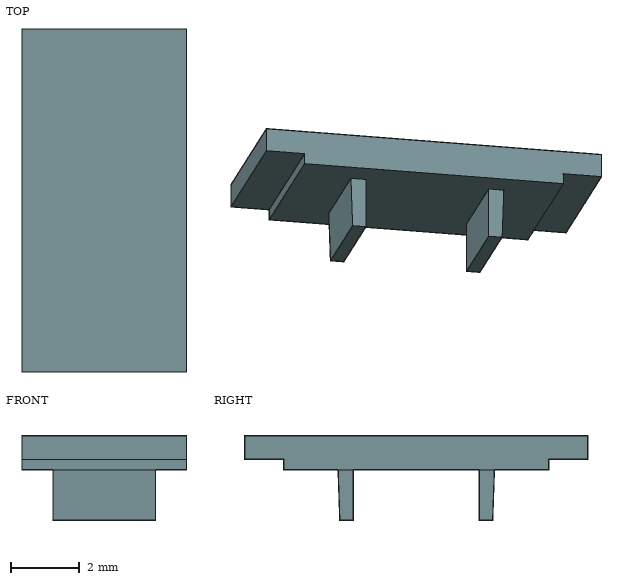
import cadquery as cq

width = 4.8
length = 10.0
height = 2.47

plate_thickness = 0.69
step_length = 7.72
step_thickness = 0.31

leg_width = 3.0
leg_inner_y = 1.83
leg_root_thickness = 0.45
leg_tip_thickness = 0.4

plate_bottom = height - plate_thickness
leg_root = plate_bottom - step_thickness


def slab(slab_length, thickness, bottom):
    """Full-width block centred on the Z axis."""
    return (
        cq.Workplane("XY")
        .workplane(offset=bottom)
        .rect(width, slab_length)
        .extrude(thickness)
    )


def leg(side):
    """Leg with an upright inner face and an outer face that tapers to the tip."""
    profile = [
        (side * leg_inner_y, 0),
        (side * (leg_inner_y + leg_tip_thickness), 0),
        (side * (leg_inner_y + leg_root_thickness), leg_root),
        (side * leg_inner_y, leg_root),
    ]
    return cq.Workplane("YZ").polyline(profile).close().extrude(leg_width / 2, both=True)


plate = slab(length, plate_thickness, plate_bottom)
step = slab(step_length, step_thickness, leg_root)

result = plate.union(step)
for side in (-1, 1):
    result = result.union(leg(side))